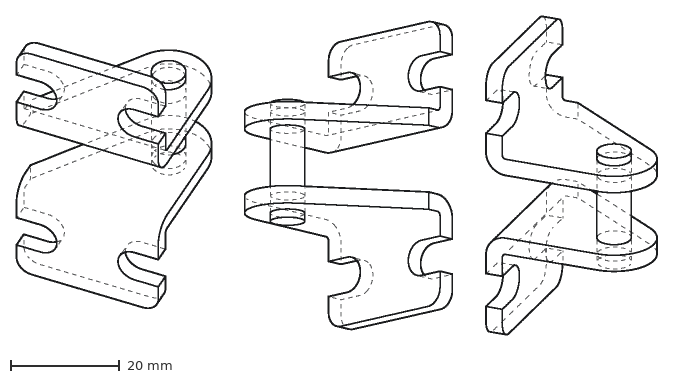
import cadquery as cq
import math

width = 28.6
depth = 30.2
height = 53.9

thickness = 3.3
inner_bend_radius = 0.7
outer_bend_radius = inner_bend_radius + thickness
gap_between_lugs = 12.6
lug_inner_z = gap_between_lugs / 2
lug_outer_z = lug_inner_z + thickness
top_z = height / 2

lug_radius = 7.9
shoulder_y = 6.3
pin_x = width / 2 - lug_radius
pin_y = depth - lug_radius

corner_radius = 3.1
slot_width = 6.65
slot_depth = 8.15
slot_z = top_z - 9.5

pin_diameter = 6.35
pin_length = 22.3


def bent_sheet():
    """L-shaped sheet running the full width, with concentric bend radii."""
    bend_y = outer_bend_radius
    bend_z = lug_inner_z + outer_bend_radius
    diagonal = math.sqrt(0.5)
    outer_mid = (bend_y - outer_bend_radius * diagonal, bend_z - outer_bend_radius * diagonal)
    inner_mid = (bend_y - inner_bend_radius * diagonal, bend_z - inner_bend_radius * diagonal)
    return (
        cq.Workplane("YZ", origin=(-width / 2, 0, 0))
        .moveTo(depth, lug_inner_z)
        .lineTo(bend_y, lug_inner_z)
        .threePointArc(outer_mid, (0, bend_z))
        .lineTo(0, top_z)
        .lineTo(thickness, top_z)
        .lineTo(thickness, bend_z)
        .threePointArc(inner_mid, (bend_y, lug_outer_z))
        .lineTo(depth, lug_outer_z)
        .close()
        .extrude(width)
    )


def lug_envelope():
    """Plan outline: straight +X side, round end, and a sloping side tangent to it."""
    shoulder_dx = -width / 2 - pin_x
    shoulder_dy = shoulder_y - pin_y
    shoulder_distance = math.hypot(shoulder_dx, shoulder_dy)
    tangent_angle = math.atan2(shoulder_dy, shoulder_dx) - math.acos(lug_radius / shoulder_distance)
    tangent_point = (
        pin_x + lug_radius * math.cos(tangent_angle),
        pin_y + lug_radius * math.sin(tangent_angle),
    )
    return (
        cq.Workplane("XY")
        .moveTo(-width / 2, 0)
        .lineTo(width / 2, 0)
        .lineTo(width / 2, pin_y)
        .threePointArc((pin_x, depth), tangent_point)
        .lineTo(-width / 2, shoulder_y)
        .close()
        .extrude(top_z)
    )


def side_slots():
    """Round-ended slots open to both sides of the mounting plate."""
    return (
        cq.Workplane("XZ")
        .pushPoints([(-width / 2, slot_z), (width / 2, slot_z)])
        .slot2D(2 * slot_depth, slot_width)
        .extrude(-thickness)
    )


def make_bracket():
    """Upper bracket: bent sheet with a shaped lug, slotted plate and pin hole."""
    pin_hole = cq.Workplane("XY").center(pin_x, pin_y).circle(pin_diameter / 2).extrude(top_z)
    return (
        bent_sheet()
        .intersect(lug_envelope())
        .edges("|Y and >Z")
        .fillet(corner_radius)
        .cut(side_slots())
        .cut(pin_hole)
    )


def make_pin():
    """Plain pin through both lugs, standing out equally at each end."""
    return (
        cq.Workplane("XY", origin=(pin_x, pin_y, -pin_length / 2))
        .circle(pin_diameter / 2)
        .extrude(pin_length)
    )


upper_bracket = make_bracket()
brackets = [upper_bracket, upper_bracket.mirror("XY")]
pin = make_pin()

result = cq.Compound.makeCompound([*[bracket.val() for bracket in brackets], pin.val()])